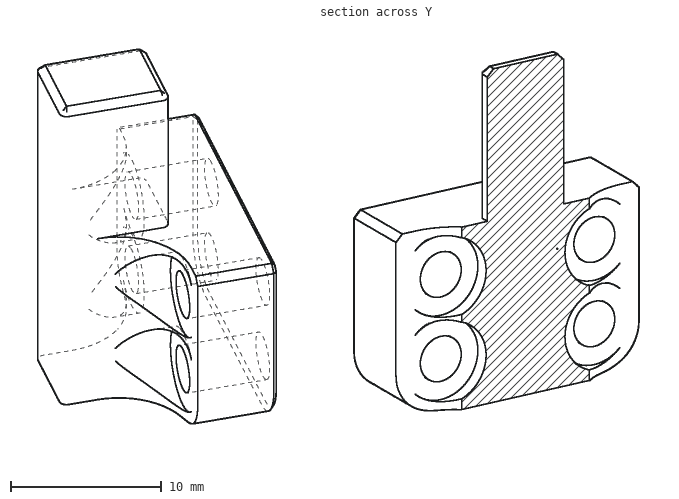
import cadquery as cq

POST_WIDTH = 6.0
POST_DEPTH = 7.5
POST_HEIGHT = 23.75
POST_EDGE_SIZE = 0.5
CHAMFER_ANGLE = 45.0

PLATE_WIDTH = 19.0
PLATE_THICKNESS = 5.5
PLATE_HEIGHT = 13.0
PLATE_BOTTOM_RADIUS = 3.0
PLATE_TOP_CHAMFER = 0.5
PLATE_BACK_CHAMFER = 0.25

WEB_RADIUS = 5.0

HOLE_DIAMETER = 3.2
COUNTERBORE_DIAMETER = 5.8
HOLE_SPACING_X = 12.0
HOLE_HEIGHTS = (3.5, 9.5)

PLATE_FRONT_Y = POST_DEPTH
PLATE_BACK_Y = PLATE_FRONT_Y + PLATE_THICKNESS
WEB_FRONT_Y = PLATE_FRONT_Y - WEB_RADIUS


def make_post():
    """Bar with rounded upright edges and a chamfered top whose corners are quarter cones."""
    outline = (
        cq.Sketch()
        .push([(0, POST_DEPTH / 2)])
        .rect(POST_WIDTH, POST_DEPTH)
        .reset()
        .vertices()
        .fillet(POST_EDGE_SIZE)
    )
    shoulder_height = POST_HEIGHT - POST_EDGE_SIZE
    shaft = cq.Workplane("XY").placeSketch(outline).extrude(shoulder_height)
    tip = (
        cq.Workplane("XY", origin=(0, 0, shoulder_height))
        .placeSketch(outline)
        .extrude(POST_EDGE_SIZE, taper=CHAMFER_ANGLE)
    )
    return shaft.union(tip)


def make_side_relief():
    """Space in front of the plate on the +X side, quarter-round towards the post."""
    post_side_x = POST_WIDTH / 2
    web_outer_x = post_side_x + WEB_RADIUS
    return (
        cq.Workplane("XY")
        .moveTo(post_side_x, WEB_FRONT_Y)
        .radiusArc((web_outer_x, PLATE_FRONT_Y), WEB_RADIUS)
        .lineTo(PLATE_WIDTH / 2, PLATE_FRONT_Y)
        .lineTo(PLATE_WIDTH / 2, WEB_FRONT_Y)
        .close()
        .extrude(PLATE_HEIGHT)
    )


def make_base():
    """Plate and web in one piece, with rounded lower and chamfered upper corners."""
    base = (
        cq.Workplane("XY")
        .box(PLATE_WIDTH, PLATE_BACK_Y - WEB_FRONT_Y, PLATE_HEIGHT, centered=(True, False, False))
        .translate((0, WEB_FRONT_Y, 0))
    )
    base = base.edges("|Y and <Z").fillet(PLATE_BOTTOM_RADIUS)
    base = base.faces(">Z").edges("|Y").chamfer(PLATE_TOP_CHAMFER)
    base = base.faces(">Y").chamfer(PLATE_BACK_CHAMFER)
    relief = make_side_relief()
    return base.cut(relief).cut(relief.mirror("YZ"))


def hole_cylinders(diameter, start_y, end_y):
    """One cylinder along Y at each screw position."""
    half_spacing = HOLE_SPACING_X / 2
    centres = [(x, z) for x in (-half_spacing, half_spacing) for z in HOLE_HEIGHTS]
    return (
        cq.Workplane("XZ", origin=(0, start_y, 0))
        .pushPoints(centres)
        .circle(diameter / 2)
        .extrude(start_y - end_y)
    )


body = make_post().union(make_base())
body = body.cut(hole_cylinders(COUNTERBORE_DIAMETER, 0, PLATE_FRONT_Y))
result = body.cut(hole_cylinders(HOLE_DIAMETER, 0, PLATE_BACK_Y))